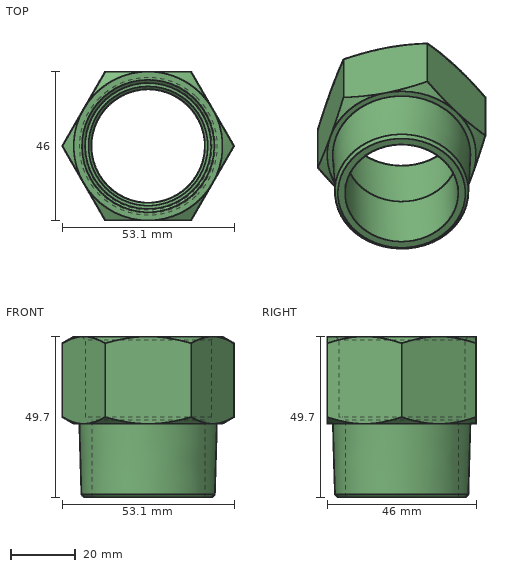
import cadquery as cq
import math

across_corners = 53.1
across_flats = across_corners * math.cos(math.radians(30))
total_height = 49.7
stem_length = 22.8
corner_bevel_angle = 30.0
corner_clearance = 0.55

stem_top_diameter = 42.6
stem_bottom_diameter = 41.35
stem_chamfer = 0.95

socket_diameter = 38.95
socket_depth = 24.75
socket_mouth_diameter = 40.9
mouth_chamfer_height = 0.95
seat_diameter = 36.85
seat_depth = 1.0
through_diameter = 35.0


def revolve_profile(points):
    """Revolve a closed (radius, height) outline about the Z axis."""
    return cq.Workplane("YZ").polyline(points).close().revolve(360, (0, 0), (0, 1))


def make_head():
    """Hexagon with its corners bevelled by a cone at both ends."""
    hexagon = (
        cq.Workplane("XY")
        .workplane(offset=stem_length)
        .polygon(6, across_corners)
        .extrude(total_height - stem_length)
    )
    face_radius = across_flats / 2
    outer_radius = across_corners / 2 + corner_clearance
    bevel_drop = (outer_radius - face_radius) * math.tan(math.radians(corner_bevel_angle))
    envelope = revolve_profile([
        (0, stem_length),
        (face_radius, stem_length),
        (outer_radius, stem_length + bevel_drop),
        (outer_radius, total_height - bevel_drop),
        (face_radius, total_height),
        (0, total_height),
    ])
    return hexagon.intersect(envelope)


def make_stem():
    """Tapered spigot with a chamfered lower edge."""
    bottom_radius = stem_bottom_diameter / 2
    return revolve_profile([
        (0, 0),
        (bottom_radius - stem_chamfer, 0),
        (bottom_radius, stem_chamfer),
        (stem_top_diameter / 2, stem_length),
        (0, stem_length),
    ])


def make_bore():
    """Chamfered socket, chamfered seat and through hole."""
    socket_floor = total_height - socket_depth
    seat_floor = socket_floor - seat_depth
    return revolve_profile([
        (0, 0),
        (through_diameter / 2, 0),
        (through_diameter / 2, seat_floor),
        (seat_diameter / 2, socket_floor),
        (socket_diameter / 2, socket_floor),
        (socket_diameter / 2, total_height - mouth_chamfer_height),
        (socket_mouth_diameter / 2, total_height),
        (0, total_height),
    ])


result = make_head().union(make_stem()).cut(make_bore())